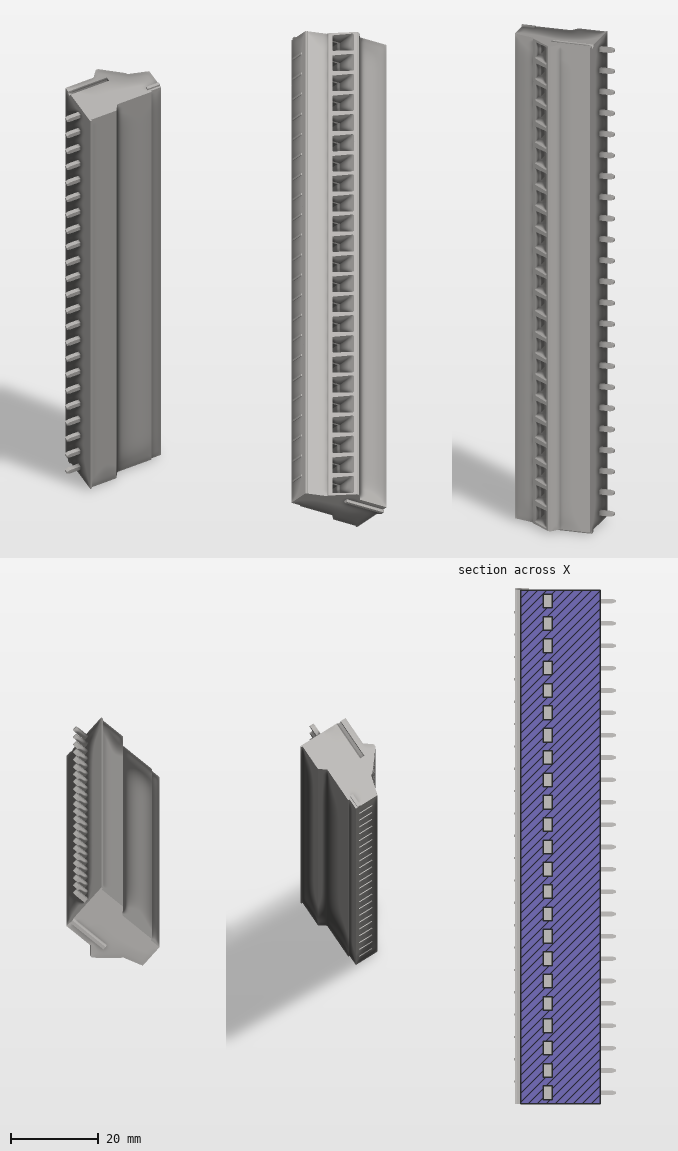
import cadquery as cq

POLE_COUNT = 23
PITCH = 5.08
BODY_LENGTH = POLE_COUNT * PITCH
TOTAL_LENGTH = 118.0

TOTAL_WIDTH = 14.25
TOTAL_DEPTH = 23.1
PIN_LENGTH = 3.5
DIVIDER_HEIGHT = 0.2
BODY_DEPTH = TOTAL_DEPTH - PIN_LENGTH - DIVIDER_HEIGHT
FRONT_WALL_X = 2.0
NOSE_ROOT_Y = 7.2
NOSE_TIP_BOTTOM_Y = 8.8
NOSE_TIP_TOP_Y = 9.4
ENTRY_TOP = (4.1, 14.4)
NECK = (4.55, 14.55)
HEAD_LEFT_X = 5.95
HEAD_SHOULDER_DROP = 0.4
HEAD_SHOULDER_WIDTH = 0.1
HEAD_RIGHT_X = 11.85
BACK_WALL_X = 12.2
HEAD_STEP_Y = 16.8
BACK_SHOULDER_TOP_Y = 8.0
BACK_SHOULDER_BOTTOM_Y = 6.8
LIP_HEIGHT = 0.4
LIP_REACH = 0.35
BASE_RIGHT_X = TOTAL_WIDTH - LIP_REACH

RIB_HEIGHT = 0.45
RIB_WIDTH = 0.75
RIB_LEFT_X = 10.6
RIB_DEPTH = 3.2

TONGUE_HEIGHT = TOTAL_LENGTH - BODY_LENGTH - RIB_HEIGHT
TONGUE_LEFT_X = 3.35
TONGUE_ROOT_WIDTH = 1.15
TONGUE_TIP_WIDTH = 0.75
TONGUE_TOP_Y = 9.9

PIN_X = 8.95
PIN_SIZE = 1.05
PIN_TAPER_LENGTH = 0.8
PIN_TIP_HEIGHT = 0.5

DIVIDER_THICKNESS = 0.5
DIVIDER_LEFT_X = 7.5
DIVIDER_WIDTH = 3.5

FUNNEL_FLOOR_X = 5.6
FUNNEL_CENTRE_Y = 11.9
FUNNEL_FLOOR_DEPTH = 3.3
FUNNEL_FLOOR_HEIGHT = 3.6
FUNNEL_DRAFT = 4.0
CLAMP_CENTRE_Y = 11.95
CLAMP_DEPTH_Y = 2.0
CLAMP_HEIGHT = 3.0
CLAMP_BOTTOM_X = 8.0


def box(x_range, y_range, z_range):
    """Axis-aligned block between the given limits."""
    lengths = [high - low for low, high in (x_range, y_range, z_range)]
    corner = (x_range[0], y_range[0], z_range[0])
    return cq.Workplane("XY").box(*lengths, centered=False).translate(corner)


def centred(middle, size):
    """Limits of a span of the given size about its middle."""
    return (middle - size / 2, middle + size / 2)


def make_housing():
    outline = [
        (FRONT_WALL_X, 0),
        (FRONT_WALL_X, NOSE_ROOT_Y),
        (0, NOSE_TIP_BOTTOM_Y),
        (0, NOSE_TIP_TOP_Y),
        ENTRY_TOP,
        NECK,
        (HEAD_LEFT_X - HEAD_SHOULDER_WIDTH, BODY_DEPTH - HEAD_SHOULDER_DROP),
        (HEAD_LEFT_X, BODY_DEPTH - HEAD_SHOULDER_DROP),
        (HEAD_LEFT_X, BODY_DEPTH),
        (HEAD_RIGHT_X, BODY_DEPTH),
        (HEAD_RIGHT_X, HEAD_STEP_Y),
        (BACK_WALL_X, HEAD_STEP_Y),
        (BACK_WALL_X, BACK_SHOULDER_TOP_Y),
        (BASE_RIGHT_X, BACK_SHOULDER_BOTTOM_Y),
        (BASE_RIGHT_X, LIP_HEIGHT),
        (TOTAL_WIDTH, LIP_HEIGHT),
        (TOTAL_WIDTH, 0),
    ]
    return cq.Workplane("XY").polyline(outline).close().extrude(BODY_LENGTH)


def make_tongue(root_z):
    """Tongue hanging down from root_z, with one sloping flank."""
    outline = [
        (TONGUE_LEFT_X, root_z),
        (TONGUE_LEFT_X + TONGUE_ROOT_WIDTH, root_z),
        (TONGUE_LEFT_X + TONGUE_TIP_WIDTH, root_z - TONGUE_HEIGHT),
        (TONGUE_LEFT_X, root_z - TONGUE_HEIGHT),
    ]
    return cq.Workplane("XZ").polyline(outline).close().extrude(-TONGUE_TOP_Y)


def make_rib():
    return box(
        (RIB_LEFT_X, RIB_LEFT_X + RIB_WIDTH),
        (BODY_DEPTH - RIB_DEPTH, BODY_DEPTH),
        (BODY_LENGTH, BODY_LENGTH + RIB_HEIGHT),
    )


def make_pin(z):
    """Square pin pointing toward -Y, its tip narrowed in Z to a blunt wedge."""
    shank_end_y = PIN_TAPER_LENGTH - PIN_LENGTH
    bottom, top = centred(z, PIN_SIZE)
    tip_bottom, tip_top = centred(z, PIN_TIP_HEIGHT)
    outline = [
        (0, bottom),
        (shank_end_y, bottom),
        (-PIN_LENGTH, tip_bottom),
        (-PIN_LENGTH, tip_top),
        (shank_end_y, top),
        (0, top),
    ]
    pin_side = cq.Workplane("YZ", origin=(PIN_X - PIN_SIZE / 2, 0, 0))
    return pin_side.polyline(outline).close().extrude(PIN_SIZE)


def make_divider(z):
    return box(
        (DIVIDER_LEFT_X, DIVIDER_LEFT_X + DIVIDER_WIDTH),
        (BODY_DEPTH - HEAD_SHOULDER_DROP, BODY_DEPTH + DIVIDER_HEIGHT),
        centred(z, DIVIDER_THICKNESS),
    )


def make_wire_entry(z):
    """Cutter opening toward -X through the sloping entry face."""
    funnel = (
        cq.Workplane("YZ", origin=(FUNNEL_FLOOR_X, FUNNEL_CENTRE_Y, z))
        .rect(FUNNEL_FLOOR_DEPTH, FUNNEL_FLOOR_HEIGHT)
        .extrude(-FUNNEL_FLOOR_X, taper=-FUNNEL_DRAFT)
    )
    clamp = box(
        (FUNNEL_FLOOR_X, CLAMP_BOTTOM_X),
        centred(CLAMP_CENTRE_Y, CLAMP_DEPTH_Y),
        centred(z, CLAMP_HEIGHT),
    )
    return funnel.union(clamp)


pole_heights = [(index + 0.5) * PITCH for index in range(POLE_COUNT)]
divider_heights = [index * PITCH for index in range(1, POLE_COUNT)]

result = make_housing().cut(make_tongue(BODY_LENGTH))
result = result.union(make_tongue(0)).union(make_rib())
for height in pole_heights:
    result = result.cut(make_wire_entry(height)).union(make_pin(height))
for height in divider_heights:
    result = result.union(make_divider(height))